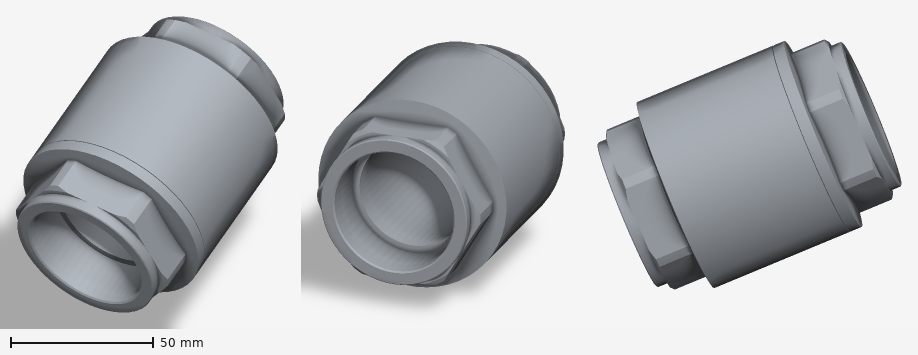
import cadquery as cq
import math

length = 93.0
half_length = length / 2

barrel_diameter = 70.8
barrel_half_length = 28.1
cone_height = 1.3
cone_small_diameter = 55.0

groove_diameter = 68.0
groove_width = 0.3
groove_center_y = -23.7
cut_margin = 0.9

hex_across_flats = 55.0
hex_corner_diameter = 61.4
hex_end_y = 42.4
hex_bevel_radial = 1.6
hex_bevel_axial = 1.0

neck_diameter = 55.0
neck_chamfer = 0.4

bore_diameter = 39.5
socket_diameter = 44.8
socket_depth = 18.2
socket_chamfer = 0.6


def revolve_profile(points):
    """Turn a closed (radius, y) outline about the Y axis."""
    return cq.Workplane("XY").polyline(points).close().revolve(360, (0, 0, 0), (0, 1, 0))


def cylinder(diameter, start_y, end_y):
    """Solid cylinder along Y between two stations."""
    radius = diameter / 2
    return revolve_profile([(0, start_y), (radius, start_y), (radius, end_y), (0, end_y)])


def make_barrel():
    radius = barrel_diameter / 2
    cone_radius = cone_small_diameter / 2
    cone_end = barrel_half_length + cone_height
    barrel = revolve_profile([
        (0, -cone_end),
        (cone_radius, -cone_end),
        (radius, -barrel_half_length),
        (radius, barrel_half_length),
        (cone_radius, cone_end),
        (0, cone_end),
    ])
    groove_start = groove_center_y - groove_width / 2
    groove_end = groove_center_y + groove_width / 2
    ring = cylinder(barrel_diameter + cut_margin, groove_start, groove_end)
    return barrel.cut(ring.cut(cylinder(groove_diameter, groove_start, groove_end)))


def make_grips():
    """Both hexagons as one bar, with corners on +X and -X."""
    across_corners = hex_across_flats / math.cos(math.pi / 6)
    hexagon = cq.Workplane("XZ").polygon(6, across_corners).extrude(hex_end_y, both=True)
    radius = hex_corner_diameter / 2
    bevel_radius = radius - hex_bevel_radial
    bevel_start = hex_end_y - hex_bevel_axial
    envelope = revolve_profile([
        (0, -hex_end_y),
        (bevel_radius, -hex_end_y),
        (radius, -bevel_start),
        (radius, bevel_start),
        (bevel_radius, hex_end_y),
        (0, hex_end_y),
    ])
    return hexagon.intersect(envelope)


def make_necks():
    """Round bar whose two ends form the necks."""
    bar = cylinder(neck_diameter, -half_length, half_length)
    return bar.faces("<Y or >Y").edges().chamfer(neck_chamfer)


def make_socket(side):
    """Cutter for the socket at the +Y (side = 1) or -Y (side = -1) end."""
    radius = socket_diameter / 2
    return revolve_profile([
        (0, side * (half_length - socket_depth)),
        (radius, side * (half_length - socket_depth)),
        (radius, side * (half_length - socket_chamfer)),
        (radius + socket_chamfer, side * half_length),
        (0, side * half_length),
    ])


result = make_barrel().union(make_grips()).union(make_necks())
result = result.cut(cylinder(bore_diameter, -half_length, half_length))
for end_side in (1, -1):
    result = result.cut(make_socket(end_side))